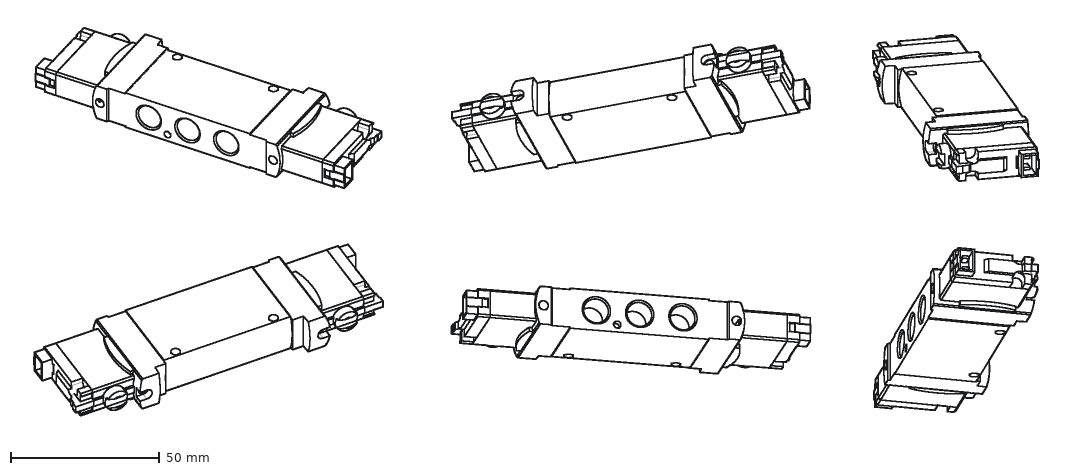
import cadquery as cq


TOTAL_LENGTH = 118.9
TOTAL_WIDTH = 34.8
BLOCK_HALF_LENGTH = 24.0
BLOCK_HEIGHT = 14.4
PORT_FACE_Y = -16.6
BLOCK_BACK_Y = 12.7
CROWN_RISE = 1.1
CAP_HEIGHT = 13.5
CAP_SHOULDER_Y = 13.1
CAP_EAR_Y = TOTAL_WIDTH / 2
CAP_EAR_TIP_X = 28.4
CAP_EAR_ROOT_X = 28.1
CAP_FOOT_Y = -TOTAL_WIDTH / 2
CAP_FOOT_TIP_X = 30.8
CAP_FOOT_ROOT_X = 30.3
CAP_END_X = 36.1
CAP_END_RISE = 1.2
CAP_EDGE_CHAMFER = 0.5

LIP_HEIGHT = 12.8
LIP_CREST_X = 37.9
LIP_CORNER_X = 36.4
LIP_BACK_Y = 10.7
LIP_FRONT_Y = -8.6

PORT_PITCH = 15.0
PORT_DIAMETER = 8.6
PORT_MOUTH_DIAMETER = 9.7
PORT_DEPTH = 9.5
VENT_DIAMETER = 2.5
VENT_X = -7.7
VENT_Z = -4.5
VENT_TIP_DEPTH = 0.7
VENT_DEPTH = 2.4
SCREW_DIAMETER = 3.2
BLOCK_SCREW_X = 18.5
BLOCK_SCREW_Y = 9.6
CAP_SCREW_X = 33.4
SCREW_SLOT_WIDTH = 3.9
SCREW_SLOT_Y = 14.6

COIL_ROOT_X = 34.5
COVER_X = 51.4
COIL_HEIGHT = 10.0
COIL_FRONT_Y = -15.6
COIL_BACK_Y = 12.4
COIL_CHAMFER = 0.7
STRAP_HEIGHT = 2.6
STRAP_BACK_Y = 13.2

BUTTON_X = 43.6
BUTTON_EDGE_DIAMETER = 8.1
BUTTON_WAIST_DIAMETER = 8.6
BUTTON_TOP_DIAMETER = 4.8
BUTTON_DOME_Y = 15.6
BUTTON_TOP_Y = 16.3
BUTTON_SLOT_WIDTH = 3.9
BUTTON_SLOT_Y = 14.6

COVER_END_X = 55.6
LATCH_TIP_X = 58.3
LATCH_STEP_X = 57.9
LATCH_FACE_X = 57.1
LATCH_NECK_HEIGHT = STRAP_HEIGHT
LATCH_FOOT_HEIGHT = 4.6
LATCH_STEP_Y = 10.9
LATCH_SLOPE_Y = 8.7
LATCH_HOOK_Y = 8.0
LATCH_CHAMFER_Y = -3.6
LATCH_END_Y = -4.9

GROOVE_BACK_Y = 9.3
GROOVE_FRONT_Y = 5.0
GROOVE_Y = (GROOVE_BACK_Y + GROOVE_FRONT_Y) / 2
RELIEF_FLOOR_Y = 11.5
RELIEF_HEIGHT = 8.3

CONNECTOR_FRONT_Y = -14.9
CONNECTOR_BACK_Y = -9.0
CONNECTOR_HEIGHT = 8.3
CONNECTOR_WALL = 0.7
SOCKET_DEPTH = 6.0
CONTACT_LENGTH = 2.1
CONTACT_THICKNESS = 1.0
CONTACT_Y = -11.5
CONTACT_Z = 2.0
CONTACT_REACH = 3.6
TONGUE_HEIGHT = 3.2
TONGUE_END_X = 54.1
WINDOW_END_X = 52.1
WINDOW_DEPTH = 1.0
KEYWAY_BACK_Y = -8.3
KEYWAY_HEIGHT = 4.2
KEYWAY_DEPTH = 0.5


def box(x1, x2, y1, y2, height):
    """Block between two X and two Y positions, centred on Z = 0."""
    return cq.Workplane("XY").box(x2 - x1, y2 - y1, height).translate(((x1 + x2) / 2, (y1 + y2) / 2, 0))


def prism(points, height):
    """XY outline extruded symmetrically about Z = 0."""
    return cq.Workplane("XY").polyline(points).close().extrude(height / 2, both=True)


def drill_y(x, z, start_y, length, diameter):
    """Cylinder running from start_y towards +Y."""
    axis = cq.Vector(0, 1, 0)
    return cq.Workplane(cq.Solid.makeCylinder(diameter / 2, length, cq.Vector(x, start_y, z), axis))


def cone_y(x, z, start_y, length, start_diameter, end_diameter):
    """Cone running from start_y towards +Y."""
    axis = cq.Vector(0, 1, 0)
    return cq.Workplane(
        cq.Solid.makeCone(start_diameter / 2, end_diameter / 2, length, cq.Vector(x, start_y, z), axis)
    )


def crowned(half_length, crown_y, height):
    """Bar with a flat foot, a flat underside and an arched +Y face."""
    half = height / 2
    edge_y = crown_y - CROWN_RISE
    return (
        cq.Workplane("YZ")
        .moveTo(CAP_FOOT_Y, -half)
        .lineTo(edge_y, -half)
        .threePointArc((crown_y, 0), (edge_y, half))
        .lineTo(CAP_FOOT_Y, half)
        .close()
        .extrude(half_length, both=True)
    )


def end_cap():
    """End cap at the -X end, with its ear, foot, bulged end and two lips."""
    outline = [
        (-BLOCK_HALF_LENGTH, PORT_FACE_Y),
        (-BLOCK_HALF_LENGTH, CAP_SHOULDER_Y),
        (-CAP_EAR_ROOT_X, CAP_SHOULDER_Y),
        (-CAP_EAR_TIP_X, CAP_EAR_Y),
        (-CAP_END_X, CAP_EAR_Y),
        (-CAP_END_X, CAP_FOOT_Y),
        (-CAP_FOOT_TIP_X, CAP_FOOT_Y),
        (-CAP_FOOT_ROOT_X, PORT_FACE_Y),
    ]
    half = CAP_HEIGHT / 2
    arc_end_z = half - CAP_EDGE_CHAMFER
    bulge_edge_x = CAP_END_RISE - CAP_END_X
    bulge = (
        cq.Workplane("XZ")
        .moveTo(0, -half)
        .lineTo(bulge_edge_x + CAP_EDGE_CHAMFER, -half)
        .lineTo(bulge_edge_x, -arc_end_z)
        .threePointArc((-CAP_END_X, 0), (bulge_edge_x, arc_end_z))
        .lineTo(bulge_edge_x + CAP_EDGE_CHAMFER, half)
        .lineTo(0, half)
        .close()
        .extrude(TOTAL_LENGTH, both=True)
    )
    cap = prism(outline, CAP_HEIGHT).intersect(crowned(CAP_END_X, CAP_EAR_Y, CAP_HEIGHT)).intersect(bulge)
    lips = (
        cq.Workplane("XY")
        .moveTo(-COIL_ROOT_X, LIP_FRONT_Y)
        .lineTo(-LIP_CORNER_X, LIP_FRONT_Y)
        .threePointArc((-LIP_CREST_X, (LIP_FRONT_Y + LIP_BACK_Y) / 2), (-LIP_CORNER_X, LIP_BACK_Y))
        .lineTo(-COIL_ROOT_X, LIP_BACK_Y)
        .close()
        .extrude(LIP_HEIGHT / 2, both=True)
    )
    return cap.union(lips)


def screw_slot():
    """Round-ended slot around the cap screw hole, open at the end of the cap and at the ear."""
    depth = CAP_EAR_Y - SCREW_SLOT_Y
    round_end = drill_y(-CAP_SCREW_X, 0, SCREW_SLOT_Y, depth, SCREW_SLOT_WIDTH)
    return round_end.union(box(-CAP_END_X, -CAP_SCREW_X, SCREW_SLOT_Y, CAP_EAR_Y, SCREW_SLOT_WIDTH))


def port(x):
    """Main port with a countersunk mouth."""
    mouth_depth = (PORT_MOUTH_DIAMETER - PORT_DIAMETER) / 2
    bore = drill_y(x, 0, PORT_FACE_Y, PORT_DEPTH, PORT_DIAMETER)
    return bore.union(cone_y(x, 0, PORT_FACE_Y, mouth_depth, PORT_MOUTH_DIAMETER, PORT_DIAMETER))


def vent():
    """Small blind hole with a drill-point bottom."""
    bore = drill_y(VENT_X, VENT_Z, PORT_FACE_Y, VENT_DEPTH, VENT_DIAMETER)
    return bore.union(cone_y(VENT_X, VENT_Z, PORT_FACE_Y + VENT_DEPTH, VENT_TIP_DEPTH, VENT_DIAMETER, 0))


def coil_bar(outer_x, inner_x):
    """Length of the chamfered bar, with the strap on its +Y face, shared by the coil and its cover."""
    bar = box(-outer_x, -inner_x, COIL_FRONT_Y, COIL_BACK_Y, COIL_HEIGHT).edges("|X").chamfer(COIL_CHAMFER)
    return bar.union(box(-outer_x, -inner_x, COIL_BACK_Y - COIL_CHAMFER, STRAP_BACK_Y, STRAP_HEIGHT))


def button():
    """Barrel-shaped manual override button with a screwdriver slot."""
    edge_radius = BUTTON_EDGE_DIAMETER / 2
    waist_radius = BUTTON_WAIST_DIAMETER / 2
    waist_y = (COIL_BACK_Y + BUTTON_DOME_Y) / 2
    knob = (
        cq.Workplane("XY")
        .moveTo(0, COIL_BACK_Y)
        .lineTo(edge_radius, COIL_BACK_Y)
        .threePointArc((waist_radius, waist_y), (edge_radius, BUTTON_DOME_Y))
        .lineTo(BUTTON_TOP_DIAMETER / 2, BUTTON_TOP_Y)
        .lineTo(0, BUTTON_TOP_Y)
        .close()
        .revolve(360, (0, 0), (0, 1))
    )
    slot = box(-waist_radius, waist_radius, BUTTON_SLOT_Y, BUTTON_TOP_Y, BUTTON_SLOT_WIDTH)
    return knob.cut(slot).translate((-BUTTON_X, 0, 0))


def build_housing():
    """Central block with both caps, coils and buttons, and all ports and screw holes."""
    body = crowned(BLOCK_HALF_LENGTH, BLOCK_BACK_Y, BLOCK_HEIGHT).intersect(
        box(-BLOCK_HALF_LENGTH, BLOCK_HALF_LENGTH, PORT_FACE_Y, BLOCK_BACK_Y, BLOCK_HEIGHT)
    )
    cap = end_cap().cut(screw_slot())
    cap = cap.cut(drill_y(-CAP_SCREW_X, 0, CAP_FOOT_Y, CAP_EAR_Y - CAP_FOOT_Y, SCREW_DIAMETER))
    end = cap.union(coil_bar(COVER_X, COIL_ROOT_X)).union(button())
    body = body.union(end).union(end.mirror("YZ"))
    for x in (-PORT_PITCH, 0, PORT_PITCH):
        body = body.cut(port(x))
    body = body.cut(vent())
    screw_holes = (
        cq.Workplane("XY")
        .pushPoints([(-BLOCK_SCREW_X, BLOCK_SCREW_Y), (BLOCK_SCREW_X, BLOCK_SCREW_Y)])
        .circle(SCREW_DIAMETER / 2)
        .extrude(BLOCK_HEIGHT, both=True)
    )
    return body.cut(screw_holes)


def cover_grooves():
    """Round-bottomed grooves along X in both flat sides of the cover and of its latch."""
    width = GROOVE_BACK_Y - GROOVE_FRONT_Y
    radius = width / 2
    length = LATCH_FACE_X - COVER_X
    axis_z = LATCH_NECK_HEIGHT / 2 + radius
    rounds = (
        cq.Workplane("YZ", origin=(-LATCH_FACE_X, 0, 0))
        .pushPoints([(GROOVE_Y, axis_z), (GROOVE_Y, -axis_z)])
        .circle(radius)
        .extrude(length)
    )
    side_height = COIL_HEIGHT / 2 - axis_z
    mouth_z = axis_z + side_height / 2
    for z in (mouth_z, -mouth_z):
        mouth = cq.Workplane("XY").box(length, width, side_height)
        rounds = rounds.union(mouth.translate((-LATCH_FACE_X + length / 2, GROOVE_Y, z)))
    return rounds


def strap_reliefs():
    """Shallow reliefs in the +Y face of the cover, one on each side of the strap."""
    both_sides = box(-COVER_END_X, -COVER_X, RELIEF_FLOOR_Y, STRAP_BACK_Y, RELIEF_HEIGHT)
    return both_sides.cut(box(-COVER_END_X, -COVER_X, RELIEF_FLOOR_Y, STRAP_BACK_Y, STRAP_HEIGHT))


def latch():
    """Hooked latch on the end cover: a narrow hook above the groove axis and a wider foot below it."""
    profile = [
        (-COVER_END_X, STRAP_BACK_Y),
        (-LATCH_TIP_X, STRAP_BACK_Y),
        (-LATCH_TIP_X, LATCH_STEP_Y),
        (-LATCH_STEP_X, LATCH_STEP_Y),
        (-LATCH_STEP_X, LATCH_SLOPE_Y),
        (-LATCH_FACE_X, LATCH_HOOK_Y),
        (-LATCH_FACE_X, LATCH_CHAMFER_Y),
        (-COVER_END_X, LATCH_END_Y),
    ]
    neck = LATCH_NECK_HEIGHT / 2
    foot = LATCH_FOOT_HEIGHT / 2
    end_outline = [
        (STRAP_BACK_Y, neck),
        (GROOVE_Y, neck),
        (GROOVE_Y, foot),
        (LATCH_END_Y, foot),
        (LATCH_END_Y, -foot),
        (GROOVE_Y, -foot),
        (GROOVE_Y, -neck),
        (STRAP_BACK_Y, -neck),
    ]
    silhouette = cq.Workplane("YZ").polyline(end_outline).close().extrude(-LATCH_TIP_X)
    return prism(profile, LATCH_FOOT_HEIGHT).intersect(silhouette)


def add_connector(body):
    """Plug socket on the end cover, with two contacts, a side tongue and a keyway."""
    end_x = TOTAL_LENGTH / 2
    shell = box(-end_x, -COVER_END_X, CONNECTOR_FRONT_Y, CONNECTOR_BACK_Y, CONNECTOR_HEIGHT)
    keyway = box(-COVER_END_X, -COVER_END_X + KEYWAY_DEPTH, CONNECTOR_BACK_Y, KEYWAY_BACK_Y, KEYWAY_HEIGHT)
    window = box(-COVER_END_X, -WINDOW_END_X, COIL_FRONT_Y, COIL_FRONT_Y + WINDOW_DEPTH, TONGUE_HEIGHT)
    tongue_front_y = CONNECTOR_FRONT_Y - CONNECTOR_WALL / 2
    tongue = box(-end_x, -TONGUE_END_X, tongue_front_y, COIL_FRONT_Y + WINDOW_DEPTH, TONGUE_HEIGHT)
    socket = box(
        -end_x,
        -end_x + SOCKET_DEPTH,
        CONNECTOR_FRONT_Y + CONNECTOR_WALL,
        CONNECTOR_BACK_Y - CONNECTOR_WALL,
        CONNECTOR_HEIGHT - 2 * CONNECTOR_WALL,
    )
    body = body.cut(window).cut(keyway).union(shell).union(tongue).cut(socket)
    floor_x = -end_x + SOCKET_DEPTH
    for z in (-CONTACT_Z, CONTACT_Z):
        contact = box(
            floor_x - CONTACT_REACH,
            floor_x,
            CONTACT_Y - CONTACT_LENGTH / 2,
            CONTACT_Y + CONTACT_LENGTH / 2,
            CONTACT_THICKNESS,
        )
        body = body.union(contact.translate((0, 0, z)))
    return body


def build_cover():
    """Plug cover at the -X end, with its latch and connector."""
    body = coil_bar(COVER_END_X, COVER_X).cut(strap_reliefs())
    body = body.union(latch()).cut(cover_grooves())
    return add_connector(body)


housing = build_housing()
left_cover = build_cover()
covers = [left_cover, left_cover.mirror("YZ")]

result = cq.Compound.makeCompound([housing.val(), *[cover.val() for cover in covers]])